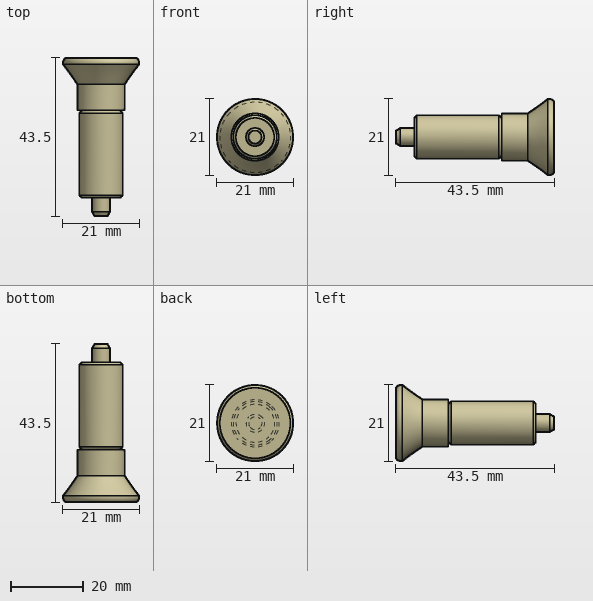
import cadquery as cq
import math

total_length = 43.5
front_tip = -total_length / 2
crown = total_length / 2

knob_radius = 10.505
crown_radius = 9.7
crown_depth = 1.35
crown_bulge = 0.2
rim_width = 0.4
flare_length = 5.52
flare_sag = 0.1

collar_radius = 6.52
collar_length = 7.18
collar_fillet = 0.35

body_radius = 6.0
body_chamfer = 0.75

pin_radius = 2.5
pin_length = 5.0
tip_radius = 1.8
tip_length = 1.2

rim_back = crown - crown_depth
rim_front = rim_back - rim_width
collar_back = rim_front - flare_length
collar_front = collar_back - collar_length
body_front = front_tip + pin_length


def bowed_midpoint(start, end, offset):
    """Midpoint of a segment, shifted to the right of its direction."""
    dx = end[0] - start[0]
    dy = end[1] - start[1]
    length = math.hypot(dx, dy)
    middle_x = (start[0] + end[0]) / 2
    middle_y = (start[1] + end[1]) / 2
    return (middle_x + offset * dy / length, middle_y - offset * dx / length)


def make_knob():
    """Flared knob with a concave cone, a narrow rim and a rounded crown edge."""
    flare_start = (collar_radius, collar_back)
    flare_end = (knob_radius, rim_front)
    crown_start = (knob_radius, rim_back)
    crown_end = (crown_radius, crown)
    profile = (
        cq.Workplane("XY")
        .moveTo(0, collar_back)
        .lineTo(*flare_start)
        .threePointArc(bowed_midpoint(flare_start, flare_end, -flare_sag), flare_end)
        .lineTo(*crown_start)
        .threePointArc(bowed_midpoint(crown_start, crown_end, crown_bulge), crown_end)
        .lineTo(0, crown)
        .close()
    )
    return profile.revolve(360, (0, 0, 0), (0, 1, 0))


def make_cylinder(radius, front, back):
    """Cylinder on the Y axis between two stations."""
    return cq.Workplane("XZ", origin=(0, back, 0)).circle(radius).extrude(back - front)


def make_collar():
    collar = make_cylinder(collar_radius, collar_front, collar_back)
    return collar.faces("<Y").edges().fillet(collar_fillet)


def make_body():
    body = make_cylinder(body_radius, body_front, collar_front)
    return body.faces("<Y or >Y").edges().chamfer(body_chamfer)


def make_pin():
    """Locating pin with a conical tip."""
    pin = make_cylinder(pin_radius, front_tip, body_front)
    return pin.faces("<Y").edges().chamfer(tip_length, pin_radius - tip_radius)


result = make_knob().union(make_collar()).union(make_body()).union(make_pin())